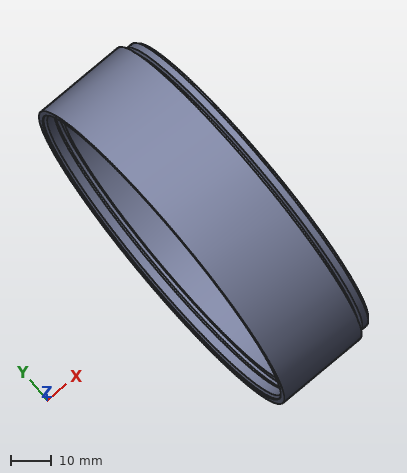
import cadquery as cq

overall_length = 28.9
body_diameter = 93
bore_diameter = 86.5

spigot_length = 4.0
spigot_diameter = 90.0
neck_diameter = 88.7
neck_length = 0.8

socket_diameter = 89.0
relief_diameter = 90.2
socket_depth = 4.8
relief_width = 0.9
entry_length = 0.4

body_radius = body_diameter / 2
bore_radius = bore_diameter / 2
spigot_radius = spigot_diameter / 2
neck_radius = neck_diameter / 2
socket_radius = socket_diameter / 2
relief_radius = relief_diameter / 2
spigot_chamfer = spigot_radius - neck_radius
socket_chamfer = relief_radius - socket_radius
shoulder_x = overall_length - spigot_length
neck_end_x = shoulder_x + neck_length
relief_start_x = socket_depth - relief_width

outer_profile = [
    (0, body_radius),
    (shoulder_x, body_radius),
    (shoulder_x, neck_radius),
    (neck_end_x, neck_radius),
    (neck_end_x + spigot_chamfer, spigot_radius),
    (overall_length - spigot_chamfer, spigot_radius),
    (overall_length, spigot_radius - spigot_chamfer),
]
inner_profile = [
    (overall_length, bore_radius),
    (socket_depth, bore_radius),
    (socket_depth, relief_radius),
    (relief_start_x, relief_radius),
    (relief_start_x - socket_chamfer, socket_radius),
    (entry_length + socket_chamfer, socket_radius),
    (entry_length, relief_radius),
    (0, relief_radius),
]

result = (
    cq.Workplane("XY")
    .polyline(outer_profile + inner_profile)
    .close()
    .revolve(360, (0, 0, 0), (1, 0, 0))
    .translate((-overall_length / 2, 0, 0))
)